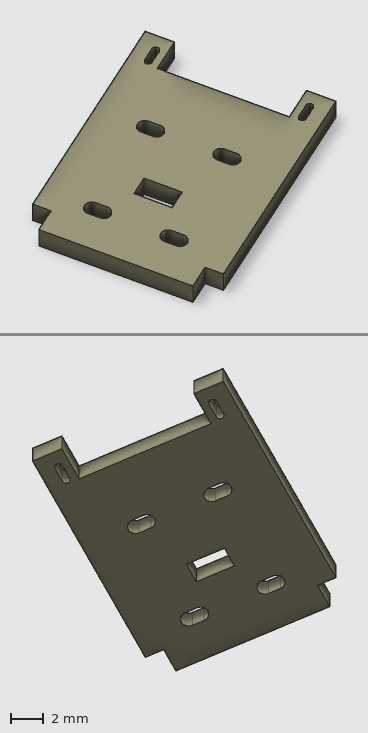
import cadquery as cq

plate_width = 13.0
plate_length = 17.4
plate_thickness = 1.51

leg_width = 2.0
leg_length = 2.4

tongue_width = 10.5
tongue_length = 1.7

leg_slot_length = 1.5
leg_slot_width = 0.5
leg_slot_edge_distance = 1.25
leg_slot_end_distance = 1.6

grid_slot_length = 1.8
grid_slot_width = 1.0
grid_spacing_x = 5.2
grid_spacing_y = 7.4
grid_center_x = -0.1
grid_center_y = -2.0

window_width = 2.6
window_height = 1.4
window_center_y = -2.8

half_width = plate_width / 2
half_length = plate_length / 2


def make_plate():
    """Extrude the outline with its two legs and its tongue."""
    leg_inner_x = half_width - leg_width
    leg_root_y = half_length - leg_length
    tongue_x = tongue_width / 2
    tongue_root_y = -half_length + tongue_length
    outline = [
        (-tongue_x, -half_length),
        (tongue_x, -half_length),
        (tongue_x, tongue_root_y),
        (half_width, tongue_root_y),
        (half_width, half_length),
        (leg_inner_x, half_length),
        (leg_inner_x, leg_root_y),
        (-leg_inner_x, leg_root_y),
        (-leg_inner_x, half_length),
        (-half_width, half_length),
        (-half_width, tongue_root_y),
        (-tongue_x, tongue_root_y),
    ]
    return cq.Workplane("XY").polyline(outline).close().extrude(plate_thickness)


def make_leg_slots():
    """Through slots along Y, mirrored about the YZ plane."""
    slot_x = half_width - leg_slot_edge_distance
    slot_y = half_length - leg_slot_end_distance
    return (
        cq.Workplane("XY")
        .pushPoints([(-slot_x, slot_y), (slot_x, slot_y)])
        .slot2D(leg_slot_length, leg_slot_width, angle=90)
        .extrude(plate_thickness)
    )


def make_grid_slots():
    """Four through slots along X."""
    return (
        cq.Workplane("XY")
        .center(grid_center_x, grid_center_y)
        .rarray(grid_spacing_x, grid_spacing_y, 2, 2)
        .slot2D(grid_slot_length, grid_slot_width)
        .extrude(plate_thickness)
    )


def make_window():
    """Rectangular through opening between the slots."""
    return (
        cq.Workplane("XY")
        .center(0, window_center_y)
        .rect(window_width, window_height)
        .extrude(plate_thickness)
    )


result = make_plate().cut(make_leg_slots()).cut(make_grid_slots()).cut(make_window())